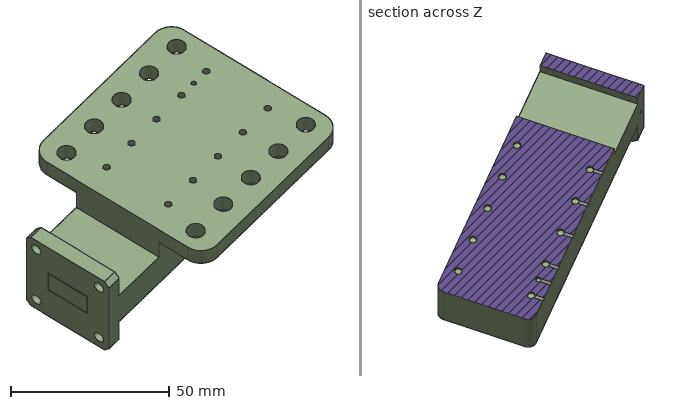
import cadquery as cq

total_length = 95.25

plate_side = 69.8
plate_thickness = 6.2
plate_corner_radius = 6.5
plate_front_y = total_length - plate_side
plate_center_y = total_length - plate_side / 2

mount_hole_diameter = 6.0
mount_hole_spacing_x = 52.0
mount_hole_pitch_y = 14.0
holes_per_column = 5

flange_width = 33.2
flange_bottom_z = -36.5
flange_thickness = 5.2
flange_chamfer = 1.8

window_center_z = -19.8
window_width = 15.6
window_height = 8.0
window_depth = 0.2
bolt_hole_diameter = 3.8
bolt_spacing_x = 25.2
bolt_spacing_z = 24.3

body_width = flange_width
body_bottom_z = -26.2
body_corner_radius = 2.8
neck_top_z = -13.4

blind_hole_diameter = 2.3
blind_hole_depth = 10.7
blind_hole_spacing_x = 24.8
blind_hole_pitch_y = 12.7
last_blind_hole_y = total_length - 9.05
locating_hole_diameter = 1.6
locating_hole_y = last_blind_hole_y - blind_hole_pitch_y / 2

vent_diameter = 1.0
vent_z = -10.0
vent_depth = (body_width - blind_hole_spacing_x) / 2
flange_vent_z = -21.8


def box_between(width, y_start, y_end, z_bottom, z_top):
    """Box centered on X = 0 between the given Y and Z limits."""
    box = cq.Workplane("XY").box(width, y_end - y_start, z_top - z_bottom, centered=(True, False, False))
    return box.translate((0, y_start, z_bottom))


def holes_down(points, diameter, depth):
    """Vertical cylinders from the plate top downward."""
    return cq.Workplane("XY").pushPoints(points).circle(diameter / 2).extrude(-depth)


def vents_from_left(points):
    """Small cylinders along +X from the left side; points are (Y, Z) pairs."""
    left_side = cq.Workplane("YZ", origin=(-body_width / 2, 0, 0))
    return left_side.pushPoints(points).circle(vent_diameter / 2).extrude(vent_depth)


def make_plate():
    plate = box_between(plate_side, plate_front_y, total_length, -plate_thickness, 0)
    plate = plate.edges("|Z").fillet(plate_corner_radius)
    holes = (
        cq.Workplane("XY", origin=(0, plate_center_y, 0))
        .rarray(mount_hole_spacing_x, mount_hole_pitch_y, 2, holes_per_column)
        .circle(mount_hole_diameter / 2)
        .extrude(-plate_thickness)
    )
    return plate.cut(holes)


def make_body():
    block = box_between(body_width, plate_front_y, total_length, body_bottom_z, -plate_thickness)
    block = block.edges("|Z and >Y").fillet(body_corner_radius)
    neck = box_between(body_width, flange_thickness, plate_front_y, body_bottom_z, neck_top_z)
    return block.union(neck)


def make_flange():
    flange_top_z = flange_bottom_z + flange_width
    flange = box_between(flange_width, 0, flange_thickness, flange_bottom_z, flange_top_z)
    flange = flange.edges("|Y").chamfer(flange_chamfer)
    front_face = cq.Workplane("XZ", origin=(0, 0, window_center_z))
    bolt_holes = (
        front_face.rarray(bolt_spacing_x, bolt_spacing_z, 2, 2)
        .circle(bolt_hole_diameter / 2)
        .extrude(-flange_thickness)
    )
    window = front_face.rect(window_width, window_height).extrude(-window_depth)
    return flange.cut(bolt_holes).cut(window)


blind_hole_rows = [last_blind_hole_y - row * blind_hole_pitch_y for row in range(holes_per_column)]
blind_hole_x = blind_hole_spacing_x / 2
blind_hole_points = [(side * blind_hole_x, y) for side in (-1, 1) for y in blind_hole_rows]
vent_points = [(y, vent_z) for y in blind_hole_rows + [locating_hole_y]]
vent_points.append((flange_thickness / 2, flange_vent_z))

result = (
    make_plate()
    .union(make_body())
    .union(make_flange())
    .cut(holes_down(blind_hole_points, blind_hole_diameter, blind_hole_depth))
    .cut(holes_down([(-blind_hole_x, locating_hole_y)], locating_hole_diameter, blind_hole_depth))
    .cut(vents_from_left(vent_points))
)